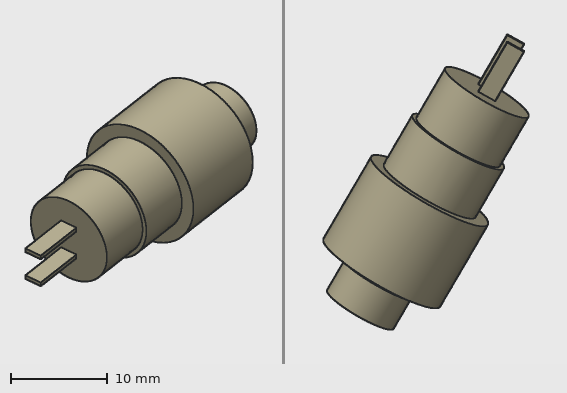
import cadquery as cq

total_length = 32.5

button_diameter = 8.0
body_diameter = 14.0
collar_diameter = 11.0
base_diameter = 10.0

terminal_length = 6.0
base_length = 6.0
collar_length = 5.98
body_length = 10.0
shoulder_length = 0.5
shoulder_front_diameter = 10.0

terminal_width = 2.0
terminal_thickness = 0.5
terminal_spacing = 3.5

base_start = terminal_length
collar_start = base_start + base_length
body_start = collar_start + collar_length
shoulder_start = body_start + body_length
button_start = shoulder_start + shoulder_length


def make_housing():
    """Revolve the stepped half profile about the Y axis."""
    return (
        cq.Workplane("XY")
        .moveTo(0, base_start)
        .lineTo(base_diameter / 2, base_start)
        .lineTo(base_diameter / 2, collar_start)
        .lineTo(collar_diameter / 2, collar_start)
        .lineTo(collar_diameter / 2, body_start)
        .lineTo(body_diameter / 2, body_start)
        .lineTo(body_diameter / 2, shoulder_start)
        .lineTo(shoulder_front_diameter / 2, button_start)
        .lineTo(button_diameter / 2, button_start)
        .lineTo(button_diameter / 2, total_length)
        .lineTo(0, total_length)
        .close()
        .revolve(360, (0, 0, 0), (0, 1, 0))
    )


def make_terminal(z_center):
    """Flat blade from the terminal tip to the base end face."""
    return cq.Workplane("XY").box(
        terminal_width, terminal_length, terminal_thickness, centered=(True, False, True)
    ).translate((0, 0, z_center))


result = make_housing()
for side in (-1, 1):
    result = result.union(make_terminal(side * terminal_spacing / 2))